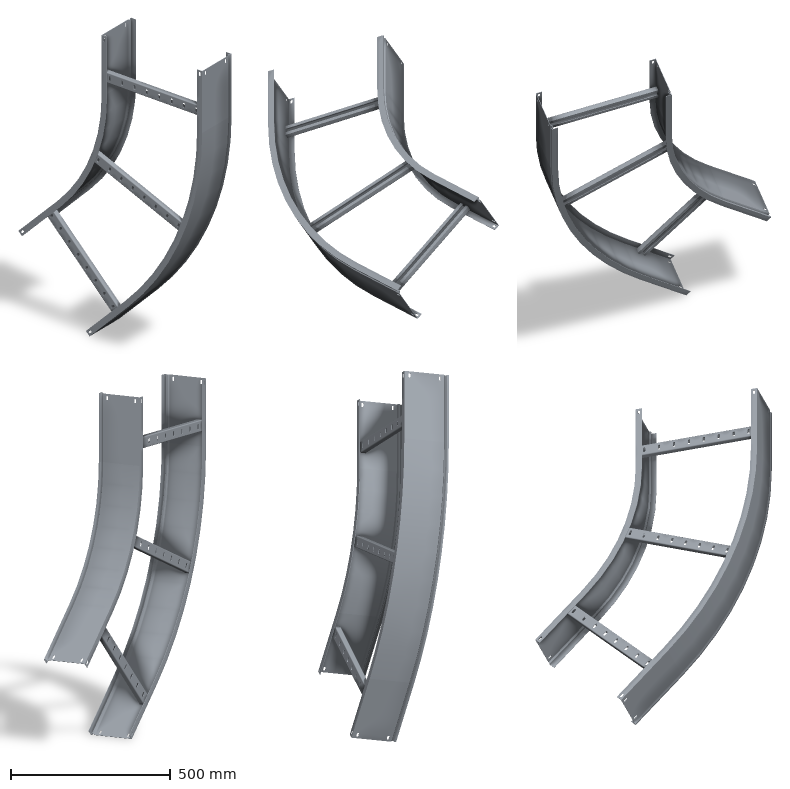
import cadquery as cq
import math


total_height = 1079.0
rail_depth = 150.0
bend_angle = 45.0
inner_radius = 601.0
ladder_width = 399.0
outer_radius = inner_radius + ladder_width

bend_sine = math.sin(math.radians(bend_angle))
leg_length = (total_height - outer_radius * bend_sine) / (1 + bend_sine)

sheet = 1.5
flange_width = 20.0
groove_start = 5.0
groove_end = 16.0
groove_depth = 5.0
groove_wall_run = 3.0

end_slot_length = 14.0
end_slot_width = 7.0
end_slot_inset = 13.0
front_slot_y = 17.0
back_slot_y = rail_depth - 30.0

rung_height = 37.0
rung_depth = 17.0
rung_front_y = 10.0
rung_gap = 14.0
rung_bend_radius = 3.0
rung_end_distance = 150.0
rung_start = inner_radius + sheet
rung_length = ladder_width - 2 * sheet
rung_z = leg_length - rung_end_distance
rung_slot_count = 8
rung_slot_row = 343.0
rung_slot_shift = 3.0
rung_slot_length = 17.0
rung_slot_width = 8.0
middle_rung_angle = 22.0

bend_axis_start = (0, 0, 0)
bend_axis_end = (0, 1, 0)


def turned(body, angle):
    """Turn a body about the bend axis, from the upper leg towards the lower one."""
    return body.rotate(bend_axis_start, bend_axis_end, angle)


def rail_section(web_radius, inward):
    """C section with a groove in its web; inward is the direction of the flanges, +1 or -1."""
    wall_angle = math.atan2(groove_depth, groove_wall_run)
    bend_shift = sheet * math.tan(wall_angle / 2)
    back = rail_depth
    floor_start = groove_start + groove_wall_run
    floor_end = groove_end - groove_wall_run
    outside = [
        (flange_width, 0),
        (0, 0),
        (0, back - groove_end),
        (groove_depth, back - floor_end),
        (groove_depth, back - floor_start),
        (0, back - groove_start),
        (0, back),
        (flange_width, back),
    ]
    inside = [
        (flange_width, back - sheet),
        (sheet, back - sheet),
        (sheet, back - groove_start + bend_shift),
        (groove_depth + sheet, back - floor_start + bend_shift),
        (groove_depth + sheet, back - floor_end - bend_shift),
        (sheet, back - groove_end - bend_shift),
        (sheet, sheet),
        (flange_width, sheet),
    ]
    points = [(web_radius + inward * step, y) for step, y in outside + inside]
    return cq.Workplane("XY").polyline(points).close()


def end_slot_cutters(web_radius, inward, end_z):
    """Two slots through the web and one through the front flange, near a rail end."""
    web_cutters = (
        cq.Workplane("YZ", origin=(web_radius, 0, end_z))
        .pushPoints([(front_slot_y, 0), (back_slot_y, 0)])
        .slot2D(end_slot_length, end_slot_width, 90)
        .extrude(sheet, both=True)
    )
    flange_cutter = (
        cq.Workplane("XZ", origin=(web_radius + inward * flange_width / 2, 0, end_z))
        .slot2D(end_slot_length, end_slot_width, 90)
        .extrude(sheet, both=True)
    )
    return web_cutters.union(flange_cutter)


def make_rail(web_radius, inward):
    """Side rail: a straight leg, a bend and a second leg."""
    upper_leg = rail_section(web_radius, inward).extrude(leg_length)
    bend = rail_section(web_radius, inward).revolve(bend_angle, bend_axis_start, bend_axis_end)
    lower_leg = turned(rail_section(web_radius, inward).extrude(-leg_length), bend_angle)
    rail = upper_leg.union(bend).union(lower_leg)

    slot_z = leg_length - end_slot_inset
    rail = rail.cut(end_slot_cutters(web_radius, inward, slot_z))
    rail = rail.cut(turned(end_slot_cutters(web_radius, inward, -slot_z), bend_angle))
    return rail


def make_rung(center_z, angle):
    """Rung between the insides of the two webs, with a row of slots in its front face."""
    rung = (
        cq.Workplane("YZ", origin=(rung_start, rung_front_y + rung_depth / 2, center_z))
        .rect(rung_depth, rung_height)
        .extrude(rung_length)
        .edges("|X and <Y")
        .fillet(rung_bend_radius)
    )
    hollow = (
        cq.Workplane("YZ", origin=(rung_start, rung_front_y + rung_depth / 2, center_z))
        .rect(rung_depth - 2 * sheet, rung_height - 2 * sheet)
        .extrude(rung_length)
        .edges("|X and <Y")
        .fillet(rung_bend_radius - sheet)
    )
    rung = rung.cut(hollow)
    middle_x = inner_radius + ladder_width / 2
    back_y = rung_front_y + rung_depth
    back_opening = cq.Workplane("XY").box(rung_length, 2 * sheet, rung_gap)
    rung = rung.cut(back_opening.translate((middle_x, back_y, center_z)))

    slots = (
        cq.Workplane("XZ", origin=(middle_x - rung_slot_shift, rung_front_y, center_z))
        .rarray(rung_slot_row / (rung_slot_count - 1), 11, rung_slot_count, 1)
        .slot2D(rung_slot_length, rung_slot_width, 90)
        .extrude(sheet, both=True)
    )
    return turned(rung.cut(slots), angle)


rung_places = [(rung_z, 0), (0, middle_rung_angle), (-rung_z, bend_angle)]
inner_rail = make_rail(inner_radius, 1)
outer_rail = make_rail(outer_radius, -1)
rungs = [make_rung(center_z, angle).cut(outer_rail) for center_z, angle in rung_places]

result = cq.Compound.makeCompound(
    [inner_rail.val(), outer_rail.val(), *[rung.val() for rung in rungs]]
)